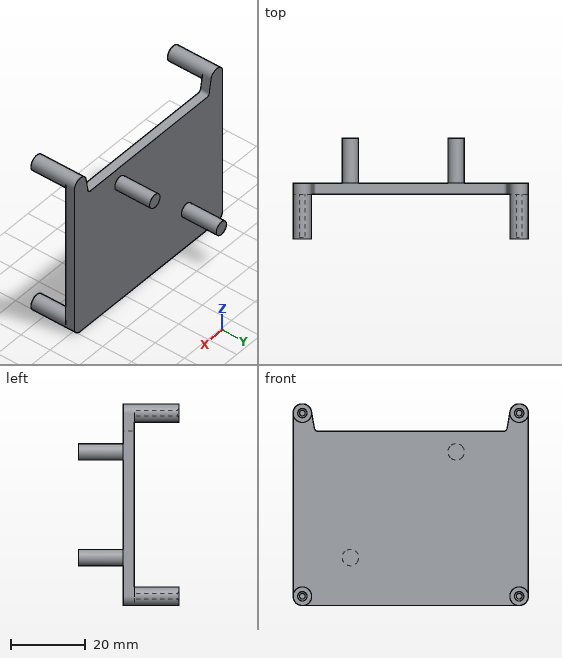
import cadquery as cq
import math

plate_thickness = 3.0
hole_spacing_x = 58.0
hole_spacing_z = 49.0
corner_radius = 2.5

notch_depth = 7.35
notch_flank_angle = 10.0
notch_fillet_radius = 1.0

front_post_diameter = 2 * corner_radius
front_post_length = 12.0
pilot_diameter = 1.5
pilot_depth = front_post_length
countersink_diameter = 2.5
countersink_depth = 0.5

rear_post_diameter = 4.4
rear_post_length = 12.0
rear_post_distance = 40.0
rear_pair_center_x = -2.0

half_width = hole_spacing_x / 2 + corner_radius
half_height = hole_spacing_z / 2 + corner_radius


def cylinder(point, diameter, y_start, y_end):
    """Cylinder along Y, from y_start up to y_end, centred on an (x, z) point."""
    x, z = point
    base_plane = cq.Plane(origin=(x, y_start, z), xDir=(0, 0, 1), normal=(0, 1, 0))
    return cq.Workplane(base_plane).circle(diameter / 2).extrude(y_end - y_start)


def make_plate():
    """Plate with rounded corners and a flared notch in its top edge."""
    ear_x = hole_spacing_x / 2
    ear_z = hole_spacing_z / 2
    notch_floor_z = half_height - notch_depth
    corner_mid = corner_radius * math.sin(math.pi / 4)

    angle = math.radians(notch_flank_angle)
    tangent_x = ear_x - corner_radius * math.cos(angle)
    tangent_z = ear_z + corner_radius * math.sin(angle)
    notch_floor_x = tangent_x - (tangent_z - notch_floor_z) * math.tan(angle)

    plate = (
        cq.Workplane("XZ")
        .moveTo(-ear_x, -half_height)
        .lineTo(ear_x, -half_height)
        .threePointArc((ear_x + corner_mid, -ear_z - corner_mid), (half_width, -ear_z))
        .lineTo(half_width, ear_z)
        .threePointArc((ear_x, half_height), (tangent_x, tangent_z))
        .lineTo(notch_floor_x, notch_floor_z)
        .lineTo(-notch_floor_x, notch_floor_z)
        .lineTo(-tangent_x, tangent_z)
        .threePointArc((-ear_x, half_height), (-half_width, ear_z))
        .lineTo(-half_width, -ear_z)
        .threePointArc((-ear_x - corner_mid, -ear_z - corner_mid), (-ear_x, -half_height))
        .close()
        .extrude(-plate_thickness)
    )
    notch_corners = cq.selectors.BoxSelector(
        (-half_width, -plate_thickness, notch_floor_z - notch_fillet_radius),
        (half_width, 2 * plate_thickness, notch_floor_z + notch_fillet_radius),
    )
    return plate.edges("|Y").edges(notch_corners).fillet(notch_fillet_radius)


def make_front_hole(point):
    """Countersunk blind hole entering the tip of a front post."""
    x, z = point
    tip_y = -front_post_length
    pilot = cylinder(point, pilot_diameter, tip_y, tip_y + pilot_depth)
    cone_start = cq.Vector(x, tip_y, z)
    cone_direction = cq.Vector(0, 1, 0)
    countersink = cq.Solid.makeCone(
        countersink_diameter / 2, pilot_diameter / 2, countersink_depth, cone_start, cone_direction
    )
    return pilot.union(cq.Workplane(countersink))


def make_front_post(point):
    """Front post with its hole; the plate closes the inner end of the hole."""
    post = cylinder(point, front_post_diameter, -front_post_length, 0)
    return post.cut(make_front_hole(point))


def make_rear_post(point):
    """Plain solid post on the rear face of the plate."""
    return cylinder(point, rear_post_diameter, plate_thickness, plate_thickness + rear_post_length)


front_points = [
    (side_x * hole_spacing_x / 2, side_z * hole_spacing_z / 2)
    for side_x in (-1, 1)
    for side_z in (-1, 1)
]
rear_offset = rear_post_distance / 2 * math.sin(math.pi / 4)
rear_points = [(rear_pair_center_x + side * rear_offset, side * rear_offset) for side in (-1, 1)]

result = make_plate()
for front_point in front_points:
    result = result.union(make_front_post(front_point), clean=False)
for rear_point in rear_points:
    result = result.union(make_rear_post(rear_point), clean=False)